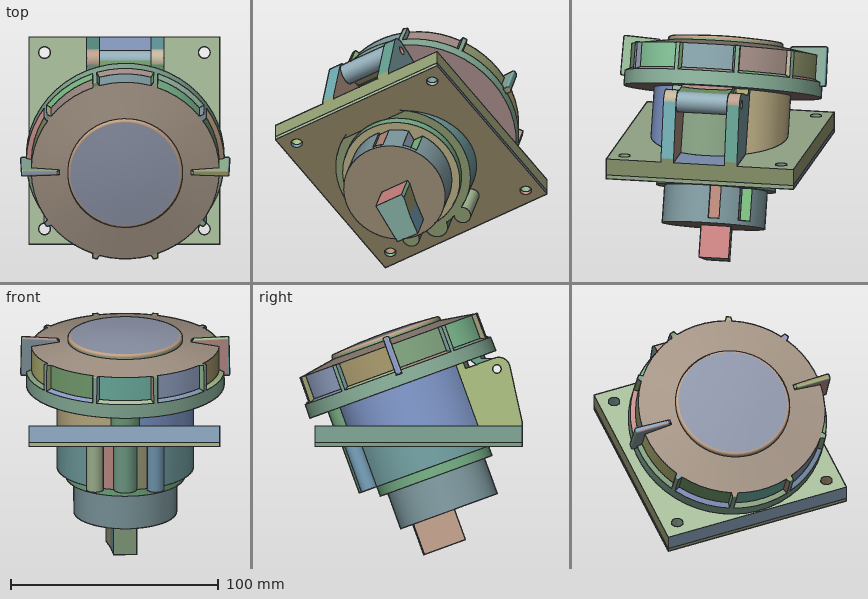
import cadquery as cq
import math

plate_x = 92.0
plate_y = 100.0
plate_offset_x = -0.4
gasket_thickness = 2.0
plate_thickness = 8.0
plate_top = gasket_thickness + plate_thickness
screw_hole_diameter = 5.5
screw_hole_inset = 7.5

tilt = 20.0
seat_y = -7.56
seat_z = 29.94

barrel_radius = 33.0
barrel_depth = 42.0
step_radius = 28.7
step_depth = 46.9
neck_radius = 24.85
neck_depth = 65.0

latch_width = 5.2
latch_depth = 62.6
latch_reach = 10.0
side_latch_floor = 15.6
side_latch_centre = 16.7
back_latch_floor = 23.8
back_latch_centre = -4.5

rib_split_depth = 15.0
upper_key_radius = 6.9
upper_key_centre = 31.5
lower_key_radius = 5.6
lower_key_centre = 32.1
side_rib_radius = 4.1
side_rib_x = 14.6
side_rib_centre = 32.4

tail_depth = 80.6
tail_half_width = 5.6
tail_outline = [
    (tail_half_width, 2.8),
    (-9.0, 2.8),
    (-9.3, 0.9),
    (-7.0, -8.9),
    (-tail_half_width, -18.7),
    (tail_half_width, -18.2),
]

rim_radius = 47.75
rim_height = 6.95
wall_radius = 45.3
ledge_height = 8.15
wall_height = 20.0
disc_radius = 27.7
disc_foot_height = 22.9
disc_side_height = 23.8
disc_edge = 1.3
dome_height = 26.4

grip_count = 10
grip_tip_radius = 47.5
grip_base_width = 3.2
grip_tip_width = 2.1
grip_top = 20.1
grip_edge = 0.4
wing_angles = (0, 180)
wing_reach = 50.42
wing_bottom = 5.2
wing_top = 24.4
wing_lean = 0.4
wing_outer_width = 3.1
wing_inner_width = 2.4
wing_inner_x = 31.8
wing_inner_top = 23.5
wing_end_slope = 1.0
wing_end_height = 22.4
wing_edge_fillet = 0.8

hinge_y = 38.6
hinge_z = 37.5
cheek_inner_x = 12.5
cheek_outer_x = 18.65
cheek_radius = 5.6
cheek_crest_angle = 67.0
cheek_foot_z = 11.8
cheek_gap = 3.1
cheek_gap_end = 31.0
knuckle_radius = 5.0
pin_hole_diameter = 4.0
pin_hole_y = 37.75
pin_hole_z = 37.4
arm_lug_radius = 41.7
arm_depth = 3.1
arm_elbow = 36.4
arm_tip = 34.6

overlap = 1.0

sin_tilt = math.sin(math.radians(tilt))
cos_tilt = math.cos(math.radians(tilt))
origin = (0, seat_y, seat_z)
axis = (0, -sin_tilt, cos_tilt)
profile_plane = cq.Plane(origin=origin, xDir=(1, 0, 0), normal=(0, -cos_tilt, -sin_tilt))
socket_plane = cq.Plane(origin=origin, xDir=(1, 0, 0), normal=axis)


def socket(height=0.0):
    """Workplane square to the socket axis, at a height above the cover's underside."""
    return cq.Workplane(socket_plane).workplane(offset=height)


def socket_yz(across, height):
    """World (y, z) of a point in the plane x = 0, given in socket coordinates."""
    y = seat_y + across * cos_tilt - height * sin_tilt
    z = seat_z + across * sin_tilt + height * cos_tilt
    return y, z


def cover_radius(height):
    """Outside radius of the cover, tapering evenly from its rim to the tips of the grip ribs."""
    return rim_radius - (rim_radius - grip_tip_radius) * height / (grip_top - grip_edge)


def mounting_plate(bottom, thickness):
    plate = cq.Workplane("XY", origin=(plate_offset_x, 0, bottom)).rect(plate_x, plate_y).extrude(thickness)
    hole_x = plate_x - 2 * screw_hole_inset
    hole_y = plate_y - 2 * screw_hole_inset
    return plate.faces(">Z").workplane(origin=(plate_offset_x, 0, 0)).rect(
        hole_x, hole_y, forConstruction=True).vertices().hole(screw_hole_diameter)


def latch_recess(x, y, size_x, size_y):
    return socket(-step_depth).center(x, y).rect(size_x, size_y).extrude(step_depth - latch_depth)


def socket_barrel():
    barrel = socket().circle(barrel_radius).extrude(-barrel_depth)
    barrel = barrel.union(socket(-barrel_depth).circle(step_radius).extrude(barrel_depth - step_depth))
    neck = socket(-step_depth).circle(neck_radius).extrude(step_depth - neck_depth)
    side_latch = latch_recess(-side_latch_floor - latch_reach / 2, side_latch_centre, latch_reach, latch_width)
    back_latch = latch_recess(back_latch_centre, back_latch_floor + latch_reach / 2, latch_width, latch_reach)
    neck = neck.cut(side_latch).cut(back_latch)
    return barrel.union(neck)


def round_rib(x, centre, radius, top_depth, bottom_depth):
    return socket(-bottom_depth).center(x, -centre).circle(radius).extrude(bottom_depth - top_depth)


def barrel_ribs():
    ribs = round_rib(0, upper_key_centre, upper_key_radius, 0, rib_split_depth)
    ribs = ribs.union(round_rib(0, lower_key_centre, lower_key_radius, rib_split_depth, barrel_depth))
    for side in (-1, 1):
        x = side * side_rib_x
        ribs = ribs.union(round_rib(x, side_rib_centre, side_rib_radius, rib_split_depth, barrel_depth))
    return ribs


def cable_tail():
    return socket(-neck_depth).polyline(tail_outline).close().extrude(neck_depth - tail_depth)


def cover_blank():
    """Turned cover, as tall at its edge as the tips of the grip ribs."""
    face_radius = disc_radius - disc_edge
    face_height = disc_side_height + disc_edge
    edge_slant = disc_edge * math.sqrt(0.5)
    edge_middle = (face_radius + edge_slant, disc_side_height + edge_slant)
    dome_rise = dome_height - face_height
    dome_sphere = (face_radius ** 2 + dome_rise ** 2) / (2 * dome_rise)
    tip_slant = grip_edge * math.sqrt(0.5)
    tip_middle = (grip_tip_radius - grip_edge + tip_slant, grip_top - grip_edge + tip_slant)
    half = face_radius / 2
    dome_middle = (half, dome_height - dome_sphere + math.sqrt(dome_sphere ** 2 - half ** 2))
    return (
        cq.Workplane(profile_plane)
        .moveTo(0, 0)
        .lineTo(rim_radius, 0)
        .lineTo(grip_tip_radius, grip_top - grip_edge)
        .threePointArc(tip_middle, (grip_tip_radius - grip_edge, grip_top))
        .lineTo(wall_radius, wall_height)
        .lineTo(disc_radius, disc_foot_height)
        .lineTo(disc_radius, disc_side_height)
        .threePointArc(edge_middle, (face_radius, face_height))
        .threePointArc(dome_middle, (0, dome_height))
        .close()
        .revolve(360, (0, 0, 0), (0, 1, 0))
    )


def wall_recess():
    """Ring cleared round the wall of the cover, down to the sloping ledge above the rim."""
    clear_radius = rim_radius + overlap
    ledge_slope = (ledge_height - rim_height) / (wall_radius - cover_radius(rim_height))
    return (
        cq.Workplane(profile_plane)
        .moveTo(wall_radius, ledge_height)
        .lineTo(clear_radius, ledge_height + ledge_slope * (clear_radius - wall_radius))
        .lineTo(clear_radius, grip_top + overlap)
        .lineTo(wall_radius, grip_top + overlap)
        .close()
        .revolve(360, (0, 0, 0), (0, 1, 0))
    )


def grip_slab(angle):
    """Tall wedge, narrowing outward, that bounds one grip rib."""
    flare = (grip_base_width - grip_tip_width) / 2 / (grip_tip_radius - wall_radius)
    inner_radius = wall_radius - 2 * overlap
    outer_radius = grip_tip_radius + 2 * overlap
    inner_half = grip_base_width / 2 + 2 * overlap * flare
    outer_half = grip_tip_width / 2 - 2 * overlap * flare
    return (
        socket()
        .transformed(rotate=(0, 0, angle))
        .polyline([
            (inner_radius, -inner_half),
            (outer_radius, -outer_half),
            (outer_radius, outer_half),
            (inner_radius, inner_half),
        ])
        .close()
        .extrude(grip_top + 2 * overlap)
    )


def wing_lug(angle):
    outline = (
        cq.Workplane(socket_plane)
        .transformed(rotate=(0, 0, angle))
        .transformed(rotate=(90, 0, 0))
        .polyline([
            (wall_radius - overlap, wing_bottom),
            (wing_reach, wing_bottom),
            (wing_reach - wing_lean, wing_top),
            (wing_inner_x + wing_end_slope, wing_inner_top),
            (wing_inner_x, wing_end_height),
            (wing_inner_x, wall_height),
            (wall_radius - overlap, wall_height - overlap),
        ])
        .close()
        .extrude(wing_outer_width, both=True)
    )
    plan = (
        socket()
        .transformed(rotate=(0, 0, angle))
        .polyline([
            (wing_inner_x - overlap, -wing_inner_width / 2),
            (wing_reach + overlap, -wing_outer_width / 2),
            (wing_reach + overlap, wing_outer_width / 2),
            (wing_inner_x - overlap, wing_inner_width / 2),
        ])
        .close()
        .extrude(wing_top + overlap)
    )
    lug = outline.intersect(plan)
    outward = cq.Vector(1, 0, 0) if angle == 0 else cq.Vector(-1, 0, 0)
    top_face = lug.faces(cq.selectors.DirectionMinMaxSelector(cq.Vector(*axis)))
    outer_face = lug.faces(cq.selectors.DirectionMinMaxSelector(outward))
    rounded_edges = top_face.edges().vals() + outer_face.edges().vals()
    return lug.newObject(rounded_edges).fillet(wing_edge_fillet)


def cover():
    recess = wall_recess()
    for index in range(grip_count):
        angle = index * 360 / grip_count
        if angle not in wing_angles:
            recess = recess.cut(grip_slab(angle))
    lid = cover_blank().cut(recess)
    for angle in wing_angles:
        lid = lid.union(wing_lug(angle))
    return lid


def hinge_cheeks():
    back = plate_y / 2
    run = hinge_y - back
    rise = hinge_z - cheek_foot_z
    reach = math.hypot(run, rise)
    tangent_angle = math.atan2(-rise, -run) + math.acos(cheek_radius / reach)
    back_tangent = (
        hinge_y + cheek_radius * math.cos(tangent_angle),
        hinge_z + cheek_radius * math.sin(tangent_angle),
    )
    crest_angle = math.radians(cheek_crest_angle)
    crest = (hinge_y + cheek_radius * math.cos(crest_angle), hinge_z + cheek_radius * math.sin(crest_angle))
    front_tangent = (hinge_y - cheek_radius * sin_tilt, hinge_z + cheek_radius * cos_tilt)
    outline = (
        cq.Workplane("YZ", origin=(-cheek_outer_x, 0, 0))
        .moveTo(back, plate_top - overlap)
        .lineTo(back, cheek_foot_z)
        .lineTo(*back_tangent)
        .threePointArc(crest, front_tangent)
        .lineTo(*socket_yz(cheek_gap_end, -cheek_gap))
        .lineTo(*socket_yz(cheek_gap_end, 0))
        .lineTo(*socket_yz(0, 0))
        .lineTo(seat_y, plate_top - overlap)
        .close()
        .extrude(2 * cheek_outer_x)
    )
    slot = cq.Workplane("XY").box(2 * cheek_inner_x, 2 * plate_y, 4 * hinge_z)
    return outline.cut(slot)


def hinge_arm():
    knuckle = (
        cq.Workplane("YZ", origin=(-cheek_inner_x, 0, 0))
        .center(hinge_y, hinge_z)
        .circle(knuckle_radius)
        .extrude(2 * cheek_inner_x)
    )
    knuckle_top = hinge_z + knuckle_radius
    arm = (
        cq.Workplane("YZ", origin=(-cheek_inner_x, 0, 0))
        .moveTo(hinge_y, knuckle_top)
        .lineTo(hinge_y, hinge_z)
        .lineTo(*socket_yz(arm_elbow, -arm_depth))
        .lineTo(*socket_yz(arm_tip, 0))
        .lineTo(*socket_yz((knuckle_top - seat_z) / sin_tilt, 0))
        .close()
        .extrude(2 * cheek_inner_x)
    )
    lug_bounds = (
        socket()
        .center(0, (arm_elbow + arm_lug_radius + overlap) / 2)
        .rect(2 * cheek_inner_x, arm_lug_radius + overlap - arm_elbow)
        .extrude(-arm_depth)
    )
    lug = socket().circle(arm_lug_radius).extrude(-arm_depth).intersect(lug_bounds)
    return knuckle.union(arm).union(lug)


def pin_hole():
    return (
        cq.Workplane("YZ", origin=(-cheek_outer_x, 0, 0))
        .center(pin_hole_y, pin_hole_z)
        .circle(pin_hole_diameter / 2)
        .extrude(2 * cheek_outer_x)
    )


flange = mounting_plate(gasket_thickness, plate_thickness)
housing = flange.union(socket_barrel()).union(barrel_ribs()).union(cable_tail())
housing = housing.union(hinge_cheeks()).union(hinge_arm()).cut(pin_hole()).union(cover())
gasket = mounting_plate(0, gasket_thickness).cut(housing)
result = cq.Compound.makeCompound([housing.val(), gasket.val()])